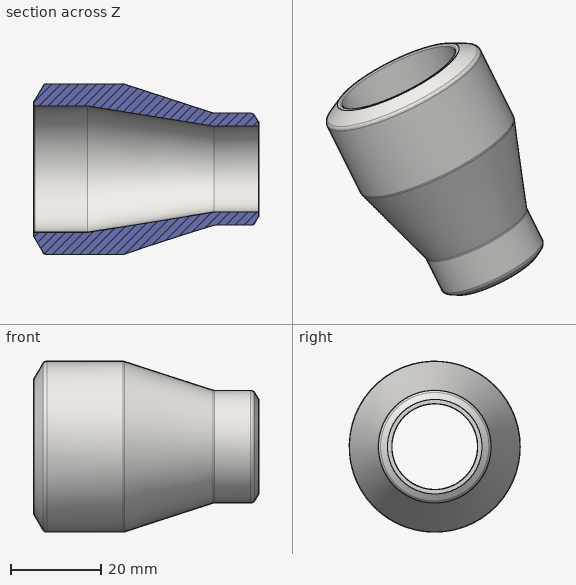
import cadquery as cq

length = 50.0
large_cylinder_end = 20.0
small_cylinder_start = 40.0

large_radius = 19.0
small_radius = 12.5
large_face_radius = 15.0
small_face_radius = 10.5
large_bevel_length = 2.35
small_bevel_length = 1.25
corner_fillet = 1.0
blend_fillet = 1.25

large_bore_radius = 14.0
large_bore_depth = 12.0
small_bore_radius = 9.5
bore_rim_fillet = 0.3


def turned(points):
    """Revolve a closed (axial, radial) outline about the X axis."""
    return cq.Workplane("XY").polyline(points).close().revolve(360, (0, 0, 0), (1, 0, 0))


def edge_circle(x, radius):
    """Box selector around the circular edge at a given station and radius."""
    margin = 0.05
    reach = radius + margin
    return cq.selectors.BoxSelector(
        (x - margin, -reach, -reach), (x + margin, reach, reach), boundingbox=True
    )


def outer_body():
    large_bevel_end = large_bevel_length
    small_bevel_start = length - small_bevel_length
    body = turned([
        (0, 0),
        (0, large_face_radius),
        (large_bevel_end, large_radius),
        (large_cylinder_end, large_radius),
        (small_cylinder_start, small_radius),
        (small_bevel_start, small_radius),
        (length, small_face_radius),
        (length, 0),
    ])
    for x, radius, fillet in (
        (large_bevel_end, large_radius, corner_fillet),
        (small_bevel_start, small_radius, corner_fillet),
        (large_cylinder_end, large_radius, blend_fillet),
        (small_cylinder_start, small_radius, blend_fillet),
    ):
        body = body.edges(edge_circle(x, radius)).fillet(fillet)
    return body


def bore():
    return turned([
        (0, 0),
        (0, large_bore_radius),
        (large_bore_depth, large_bore_radius),
        (small_cylinder_start, small_bore_radius),
        (length, small_bore_radius),
        (length, 0),
    ])


result = outer_body().cut(bore())
result = result.edges(edge_circle(0, large_bore_radius)).fillet(bore_rim_fillet)